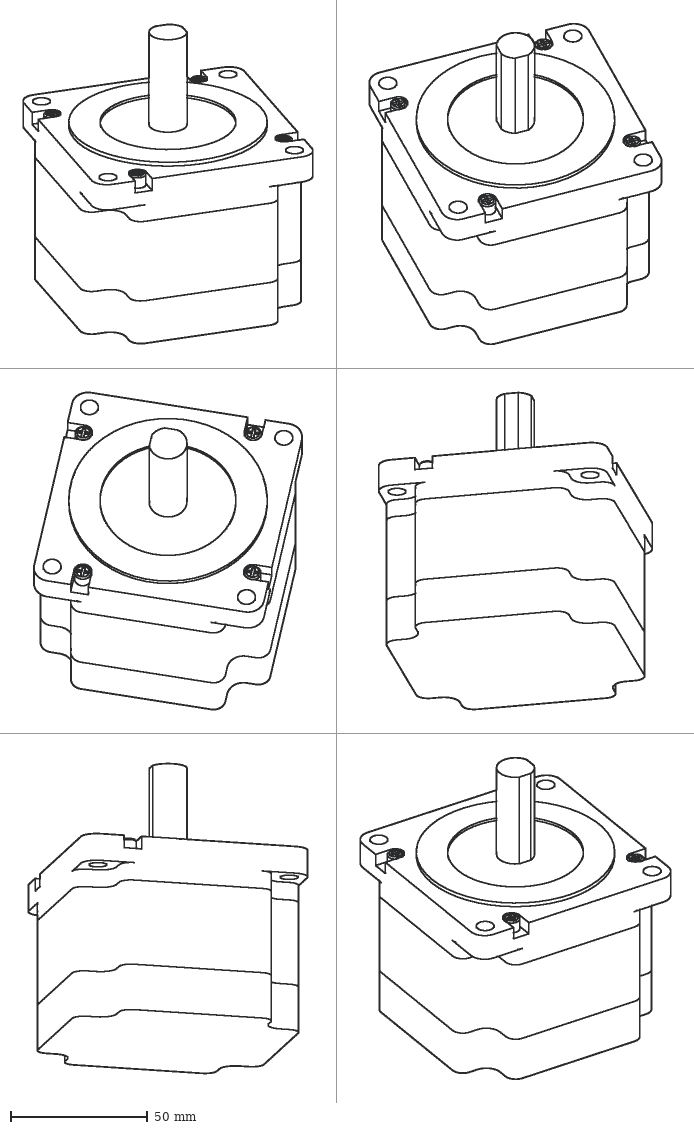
import cadquery as cq
import math

frame_side = 86.0
total_height = 103.6
rear_cover_height = 17.2
stator_height = 31.9
front_skirt_height = 6.6
flange_thickness = 10.2
boss_height = 1.6

stator_base = rear_cover_height
front_base = stator_base + stator_height
flange_base = front_base + front_skirt_height
flange_top = flange_base + flange_thickness
boss_top = flange_top + boss_height
half_side = frame_side / 2

relief_centre = 8.1
relief_radius = 6.0
lobe_radius = 4.6

flange_corner_radius = 6.0
hole_inset = 6.6
hole_diameter = 6.5
boss_diameter = 72.9
recess_diameter = 49.9
recess_depth = 1.0

shaft_diameter = 14.0
flat_distance = 6.5

screw_inset = 6.5
screw_offset = 24.9
slot_width = 6.6
slot_depth = 4.8
head_diameter = 6.0
head_chamfer = 0.6
cross_length = 4.4
cross_width = 1.0
cross_depth = 1.0

quarter_turns = [0, 90, 180, 270]


def around_axis(shape):
    """Four copies of a shape, a quarter turn apart about the Z axis."""
    return [shape.rotate((0, 0, 0), (0, 0, 1), angle) for angle in quarter_turns]


def corner_relief(base, height):
    """Void at the (-X, -Y) corner: a concave bolt pocket between two rounded lobes."""
    lip = relief_centre + relief_radius
    lobe_end = lip + lobe_radius
    diagonal = math.sqrt(0.5)
    lobe_near = lobe_radius * (1 - diagonal)
    lobe_far = lobe_end - lobe_radius * diagonal
    pocket_mid = relief_centre + relief_radius * diagonal
    return (
        cq.Workplane("XY", origin=(-half_side, -half_side, base))
        .lineTo(lobe_end, 0)
        .threePointArc((lobe_far, lobe_near), (lip, lobe_radius))
        .lineTo(lip, relief_centre)
        .threePointArc((pocket_mid, pocket_mid), (relief_centre, lip))
        .lineTo(lobe_radius, lip)
        .threePointArc((lobe_near, lobe_far), (0, lobe_end))
        .close()
        .extrude(height)
    )


def frame_section(base, height):
    """Square length of the motor frame with all four corners relieved."""
    section = cq.Workplane("XY", origin=(0, 0, base)).rect(frame_side, frame_side).extrude(height)
    for relief in around_axis(corner_relief(base, height)):
        section = section.cut(relief)
    return section


def flange():
    """Mounting plate with rounded corners and four through holes."""
    hole_spacing = frame_side - 2 * hole_inset
    return (
        cq.Workplane("XY", origin=(0, 0, flange_base))
        .rect(frame_side, frame_side)
        .extrude(flange_thickness)
        .edges("|Z")
        .fillet(flange_corner_radius)
        .faces(">Z")
        .workplane()
        .rect(hole_spacing, hole_spacing, forConstruction=True)
        .vertices()
        .hole(hole_diameter)
    )


def pilot_boss():
    """Disc that centres the flange."""
    return cq.Workplane("XY", origin=(0, 0, flange_top)).circle(boss_diameter / 2).extrude(boss_height)


def boss_recess():
    """Shallow round recess in the face of the pilot boss."""
    return (
        cq.Workplane("XY", origin=(0, 0, boss_top - recess_depth))
        .circle(recess_diameter / 2)
        .extrude(recess_depth)
    )


def shaft():
    """Output shaft, flattened along its length on the -X and +Y sides."""
    base = boss_top - recess_depth
    length = total_height - base
    round_bar = cq.Workplane("XY", origin=(0, 0, base)).circle(shaft_diameter / 2).extrude(length)
    flat_limits = (
        cq.Workplane("XY", origin=(-flat_distance, flat_distance, base))
        .rect(shaft_diameter, -shaft_diameter, centered=False)
        .extrude(length)
    )
    return round_bar.intersect(flat_limits)


def screw_slot():
    """Round-ended slot that opens through the -X side of the flange."""
    floor = flange_top - slot_depth
    round_end = (
        cq.Workplane("XY", origin=(screw_inset - half_side, screw_offset, floor))
        .circle(slot_width / 2)
        .extrude(slot_depth)
    )
    open_end = (
        cq.Workplane("XY", origin=(-half_side, screw_offset, floor))
        .rect(2 * screw_inset, slot_width)
        .extrude(slot_depth)
    )
    return round_end.union(open_end)


def screw_head():
    """Chamfered cross-recessed head standing on the slot floor, level with the flange."""
    head = (
        cq.Workplane("XY", origin=(screw_inset - half_side, screw_offset, flange_top - slot_depth))
        .circle(head_diameter / 2)
        .extrude(slot_depth)
        .faces(">Z")
        .chamfer(head_chamfer)
    )
    cross_plane = cq.Workplane(
        "XY", origin=(screw_inset - half_side, screw_offset, flange_top - cross_depth)
    )
    cross = (
        cross_plane.rect(cross_length, cross_width)
        .extrude(cross_depth)
        .union(cross_plane.rect(cross_width, cross_length).extrude(cross_depth))
    )
    return head.cut(cross)


def front_assembly():
    """Front end of the motor: skirt, flange, pilot boss, shaft and screw heads in one solid."""
    body = frame_section(front_base, front_skirt_height).union(flange())
    body = body.union(pilot_boss()).cut(boss_recess()).union(shaft())
    for slot in around_axis(screw_slot()):
        body = body.cut(slot)
    for head in around_axis(screw_head()):
        body = body.union(head)
    return body


rear_cover = frame_section(0, rear_cover_height)
stator = frame_section(stator_base, stator_height)
front = front_assembly()

result = cq.Compound.makeCompound(
    [*rear_cover.solids().vals(), *stator.solids().vals(), *front.solids().vals()]
)